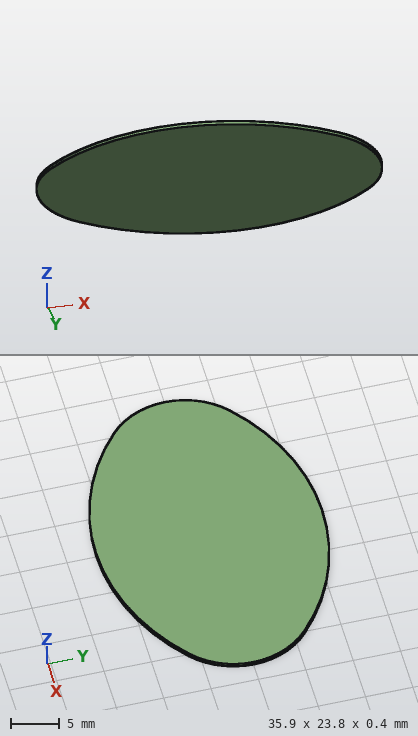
import cadquery as cq
import math

length = 35.92
width = 23.8
thickness = 0.4
side_radius = 22.85

half_length = length / 2
half_width = width / 2

side_center_y = half_width - side_radius
end_radius = (side_radius**2 - side_center_y**2 - half_length**2) / (2 * (side_radius - half_length))
end_center_x = half_length - end_radius

center_angle = math.atan2(-side_center_y, end_center_x)
joint_x = side_radius * math.cos(center_angle)
joint_y = side_center_y + side_radius * math.sin(center_angle)

outline = (
    cq.Workplane("XY")
    .moveTo(-joint_x, joint_y)
    .threePointArc((0, half_width), (joint_x, joint_y))
    .threePointArc((half_length, 0), (joint_x, -joint_y))
    .threePointArc((0, -half_width), (-joint_x, -joint_y))
    .threePointArc((-half_length, 0), (-joint_x, joint_y))
    .close()
)

result = outline.extrude(thickness)